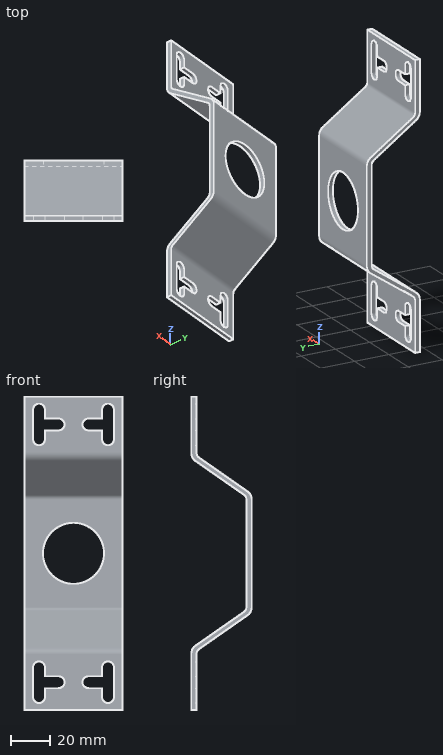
import cadquery as cq
import math

length = 159.9
width = 50.0
depth = 31.0
thickness = 2.9

flange_length = 28.6
bend_angle = math.radians(55.1)
web_thickness = 2.5
web_mid_z = 39.3
inner_radius = 2.7

hole_diameter = 31.0
slot_width = 5.9
slot_height = 21.1
slot_offset = 17.6
slot_tip = 4.6
slot_from_end = 14.2

half_length = length / 2
front_y = -depth / 2
back_y = depth / 2
web_half_height = web_thickness / math.sin(bend_angle) / 2
outer_corner_rise = back_y / math.tan(bend_angle) - web_half_height
inner_corner_rise = (back_y - thickness) / math.tan(bend_angle) + web_half_height
flange_outer_z = web_mid_z + outer_corner_rise
flange_inner_z = web_mid_z + inner_corner_rise
center_outer_z = web_mid_z - outer_corner_rise
center_inner_z = web_mid_z - inner_corner_rise

outer_radius = (half_length - flange_length - flange_outer_z) / math.tan(bend_angle / 2)


def bent_strip():
    """Hat-shaped sheet: two end flanges in front, a flat centre plate behind."""
    front_face = [
        (front_y, half_length),
        (front_y, flange_outer_z),
        (back_y - thickness, center_inner_z),
    ]
    back_face = [
        (back_y, center_outer_z),
        (front_y + thickness, flange_inner_z),
        (front_y + thickness, half_length),
    ]
    lower_front = [(y, -z) for y, z in reversed(front_face)]
    lower_back = [(y, -z) for y, z in reversed(back_face)]
    outline = front_face + lower_front + lower_back + back_face
    strip = cq.Workplane("YZ").polyline(outline).close().extrude(width / 2, both=True)

    outer_corners = [(front_y, flange_outer_z), (back_y, center_outer_z)]
    inner_corners = [(front_y + thickness, flange_inner_z), (back_y - thickness, center_inner_z)]
    for corners, radius in ((outer_corners, outer_radius), (inner_corners, inner_radius)):
        for y, z in corners:
            for side in (1, -1):
                edge = cq.selectors.NearestToPointSelector((0, y, side * z))
                strip = strip.edges("|X").edges(edge).fillet(radius)
    return strip


def through_cutter(sketch):
    """Extrude a sketch on the XZ plane through the whole depth."""
    return sketch.extrude(depth, both=True)


def t_slot(side, z):
    """Upright slot with a sideways slot from its middle towards the strip centre."""
    plane = cq.Workplane("XZ")
    upright = through_cutter(plane.center(side * slot_offset, z).slot2D(slot_height, slot_width, 90))
    branch_outer = slot_offset + slot_width / 2
    branch_center = side * (branch_outer + slot_tip) / 2
    branch_length = branch_outer - slot_tip
    branch = through_cutter(plane.center(branch_center, z).slot2D(branch_length, slot_width))
    return upright.union(branch)


result = bent_strip()
result = result.cut(through_cutter(cq.Workplane("XZ").circle(hole_diameter / 2)))

slot_z = half_length - slot_from_end
for z in (slot_z, -slot_z):
    for side in (1, -1):
        result = result.cut(t_slot(side, z))